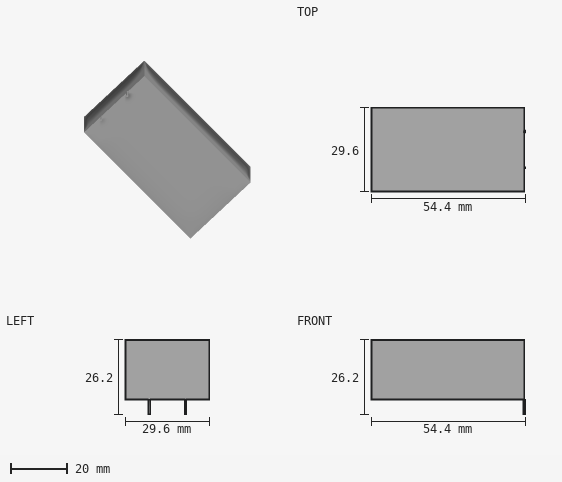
import cadquery as cq

overall_length = 54.4
housing_width = 29.6
overall_height = 26.2
pin_length = 5.15
housing_height = overall_height - pin_length

large_pin_diameter = 0.8
small_pin_diameter = 0.55
pin_spacing = 12.8

housing_length = overall_length - large_pin_diameter / 2
pin_x = housing_length


def make_housing():
    """Plain rectangular block with its underside at Z = 0."""
    return cq.Workplane("XY").box(
        housing_length, housing_width, housing_height, centered=(False, True, False)
    )


def make_pin(diameter, y):
    """Round pin hanging from the plane of the housing underside."""
    return cq.Workplane("XY").center(pin_x, y).circle(diameter / 2).extrude(-pin_length)


housing = make_housing()
pins = [
    make_pin(diameter, y)
    for diameter, y in [
        (large_pin_diameter, pin_spacing / 2),
        (small_pin_diameter, -pin_spacing / 2),
    ]
]

result = cq.Compound.makeCompound([housing.val(), *[pin.val() for pin in pins]])